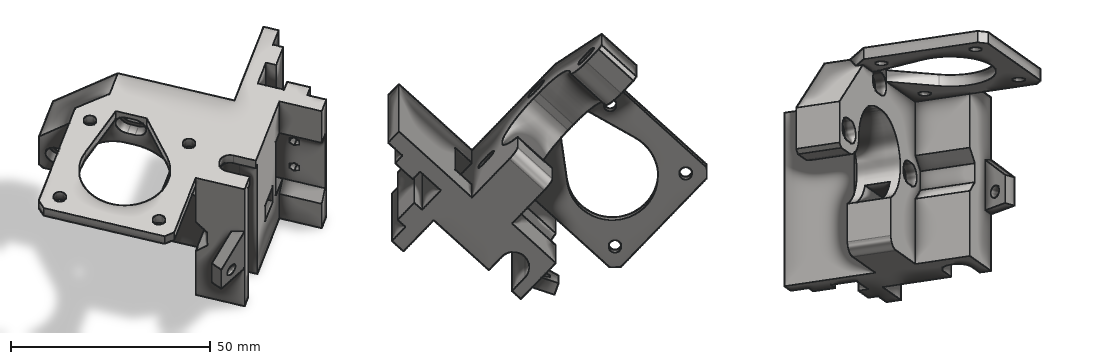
import cadquery as cq
import math

height = 46.0
plate_thickness = 3.05
plate_bottom = height - plate_thickness
plate_left = 10.1
plate_right = 45.6
plate_shoulder_y = 33.4
plate_corner_chamfer = 1.95
plate_hole_diameter = 3.2
plate_hole_spacing = 25.95
plate_hole_edge_offset = 4.7

window_center = (27.85, 17.7)
window_radius = 11.45
window_edge_left = 20.15
window_edge_right = 28.2

arm_front = 35.45
arm_back = 47.4
arm_side_height = 28.9
arm_tip_radius = 6.0
arm_corner_chamfer = 1.1
foot_left = 30.8
foot_fillet = 3.05

motor_x = 24.1
motor_z = height / 2
motor_bore_radius = 11.45
screw_offset = 18.35
screw_diameter = 3.7
screw_head_diameter = 6.0
screw_head_depth = 3.0
adjustment = 2.0

column_right = 58.4
column_front = 20.45
flange_thickness = 4.0
side_flange_left = 47.55
back_flange_back = 54.4
back_flange_front = back_flange_back - flange_thickness
back_flange_right = 69.5
side_flange_back = 72.5
key_height = 2.7
key_width = 6.1
side_key_start = 61.5

groove_depth = 3.05
groove_floor_height = 5.0
groove_mouth_height = 11.45
channel_front = 38.0
channel_back = 44.9
channel_bottom = 13.1
channel_top = 19.15
tunnel_height = 21.1
tunnel_back = 53.2
notch_center_y = 27.5
notch_width = 5.45
notch_end_x = 49.7
notch_lower_width = 7.9

pilot_diameter = 3.0
pilot_spacing = 10.0
pilot_depth = 2.2

tab_angle = 24.1
tab_length = 8.9
tab_thickness = 3.2
tab_bottom = 15.0
tab_end_height = 7.5
tab_root_height = 14.4
tab_hole_diameter = 3.2
tab_hole_from_end = 3.85
tab_hole_height = 4.0


def box(x_range, y_range, z_range):
    """Axis-aligned box given by its limits along X, Y and Z."""
    size = [limits[1] - limits[0] for limits in (x_range, y_range, z_range)]
    corner = (x_range[0], y_range[0], z_range[0])
    return cq.Workplane("XY").box(*size, centered=False).translate(corner)


def facing_front(y):
    """Sketch plane seen from the front: local x is X, local y is Z, negative extrusion goes to +Y."""
    return cq.Workplane("XZ", origin=(0, y, 0))


def cross_slot(x, z, diameter, y_start, y_end):
    """Sideways-stretched round hole running along Y."""
    sketch = facing_front(y_start).center(x, z).slot2D(diameter + adjustment, diameter)
    return sketch.extrude(y_start - y_end)


def tangent_point(center, radius, point, side):
    """Touching point on a circle of the tangent from an outside point; side is +1 or -1."""
    dx = point[0] - center[0]
    dy = point[1] - center[1]
    angle = math.atan2(dy, dx) + side * math.acos(radius / math.hypot(dx, dy))
    return (center[0] + radius * math.cos(angle), center[1] + radius * math.sin(angle))


def motor_plate():
    diagonal_run = height - arm_side_height
    outline = [
        (plate_left + plate_corner_chamfer, 0),
        (plate_right - plate_corner_chamfer, 0),
        (plate_right, plate_corner_chamfer),
        (plate_right, arm_back),
        (diagonal_run, arm_back),
        (diagonal_run, plate_shoulder_y + diagonal_run - plate_left),
        (plate_left, plate_shoulder_y),
        (plate_left, plate_corner_chamfer),
    ]
    plane = cq.Workplane("XY", origin=(0, 0, plate_bottom))
    return plane.polyline(outline).close().extrude(plate_thickness)


def plate_openings():
    plane = cq.Workplane("XY", origin=(0, 0, plate_bottom))
    edge_left = (window_edge_left, arm_front)
    edge_right = (window_edge_right, arm_front)
    lowest = (window_center[0], window_center[1] - window_radius)
    window = (
        plane.moveTo(*edge_left)
        .lineTo(*tangent_point(window_center, window_radius, edge_left, 1))
        .threePointArc(lowest, tangent_point(window_center, window_radius, edge_right, -1))
        .lineTo(*edge_right)
        .close()
        .extrude(plate_thickness)
    )
    first = (plate_left + plate_hole_edge_offset, plate_hole_edge_offset)
    centers = [
        (first[0] + i * plate_hole_spacing, first[1] + j * plate_hole_spacing)
        for i in (0, 1)
        for j in (0, 1)
    ]
    holes = plane.pushPoints(centers).circle(plate_hole_diameter / 2).extrude(plate_thickness)
    return window.union(holes)


def motor_arm():
    """Hooked arm around the bore, joined to the foot on its right."""
    half_travel = adjustment / 2
    bore_left = motor_x - half_travel - motor_bore_radius
    bore_right = motor_x + half_travel + motor_bore_radius
    bore_top = motor_z + motor_bore_radius
    tip_bottom = motor_z - arm_tip_radius
    tip_center = bore_left - arm_tip_radius
    diagonal = math.sqrt(0.5)
    right_center = motor_x + half_travel
    foot_top = motor_z - math.sqrt(motor_bore_radius**2 - (foot_left - right_center) ** 2)
    return (
        facing_front(arm_front)
        .moveTo(arm_corner_chamfer, tip_bottom)
        .lineTo(tip_center, tip_bottom)
        .threePointArc(
            (tip_center + arm_tip_radius * diagonal, motor_z - arm_tip_radius * diagonal),
            (bore_left, motor_z),
        )
        .threePointArc(
            (
                motor_x - half_travel - motor_bore_radius * diagonal,
                motor_z + motor_bore_radius * diagonal,
            ),
            (motor_x - half_travel, bore_top),
        )
        .lineTo(right_center, bore_top)
        .threePointArc((bore_right, motor_z), (foot_left, foot_top))
        .lineTo(foot_left, foot_fillet)
        .radiusArc((foot_left + foot_fillet, 0), -foot_fillet)
        .lineTo(column_right, 0)
        .lineTo(column_right, height)
        .lineTo(height - arm_side_height, height)
        .lineTo(0, arm_side_height)
        .lineTo(0, tip_bottom + arm_corner_chamfer)
        .close()
        .extrude(arm_front - arm_back)
    )


def screw_slots():
    positions = [
        (motor_x - screw_offset, motor_z),
        (motor_x + screw_offset, motor_z),
        (motor_x, motor_z + screw_offset),
    ]
    slots = cq.Workplane("XY")
    for x, z in positions:
        slots = slots.union(cross_slot(x, z, screw_diameter, arm_front, arm_back))
        head_end = arm_front + screw_head_depth
        slots = slots.union(cross_slot(x, z, screw_head_diameter, arm_front, head_end))
    return slots


def column_and_flanges():
    full = (0, height)
    side_flange_right = side_flange_left + flange_thickness
    column = box((plate_right, column_right), (column_front, arm_back), full)
    corner = box((side_flange_left, column_right), (arm_back, back_flange_back), full)
    back_flange = box((column_right, back_flange_right), (back_flange_front, back_flange_back), full)
    side_flange = box((side_flange_left, side_flange_right), (arm_back, side_flange_back), full)
    back_key = box(
        (column_right, column_right + key_width),
        (back_flange_back, back_flange_back + key_height),
        full,
    )
    side_key = box(
        (side_flange_right, side_flange_right + key_height),
        (side_key_start, side_key_start + key_width),
        full,
    )
    body = column
    for piece in (corner, back_flange, side_flange, back_key, side_key):
        body = body.union(piece)
    return body


def column_groove():
    """Flared groove along Y in the left face of the column, clearing a screw head."""
    floor_x = plate_right + groove_depth
    outline = [
        (plate_right, motor_z - groove_mouth_height / 2),
        (floor_x, motor_z - groove_floor_height / 2),
        (floor_x, motor_z + groove_floor_height / 2),
        (plate_right, motor_z + groove_mouth_height / 2),
    ]
    return facing_front(column_front).polyline(outline).close().extrude(column_front - arm_front)


def pulley_channel():
    """Channel from the motor bore out through the right face of the column."""
    return box((motor_x, column_right), (channel_front, channel_back), (channel_bottom, channel_top))


def flange_tunnel():
    """Opening through the corner block, continued as a recess with a sloped sill in the flange."""
    low = motor_z - tunnel_height / 2
    high = motor_z + tunnel_height / 2
    tunnel = box((side_flange_left, back_flange_right), (arm_back, tunnel_back), (low, high))
    sill_drop = tunnel_back - back_flange_front
    sill = (
        cq.Workplane("YZ", origin=(column_right, 0, 0))
        .polyline([(back_flange_front, low), (tunnel_back, low), (back_flange_front, low - sill_drop)])
        .close()
        .extrude(back_flange_right - column_right)
    )
    return tunnel.union(sill)


def edge_notch(width, z_start, z_end):
    """Round-ended notch, open at the right face of the column."""
    radius = width / 2
    center_x = notch_end_x + radius
    low = notch_center_y - radius
    high = notch_center_y + radius
    return (
        cq.Workplane("XY", origin=(0, 0, z_start))
        .moveTo(column_right, low)
        .lineTo(center_x, low)
        .threePointArc((notch_end_x, notch_center_y), (center_x, high))
        .lineTo(column_right, high)
        .close()
        .extrude(z_end - z_start)
    )


def pilot_holes():
    centers = [(column_right + key_width / 2, motor_z + s * pilot_spacing / 2) for s in (-1, 1)]
    holes = cq.Workplane("XY")
    for x, z in centers:
        hexagon = facing_front(tunnel_back).polygon(6, pilot_diameter).extrude(-pilot_depth)
        hexagon = hexagon.rotate((0, 0, 0), (0, 1, 0), 90)
        holes = holes.union(hexagon.translate((x, 0, z)))
    return holes


def slanted_tab():
    """Tab with a sloped top, built along -Y and swung about the column's front right edge."""
    root = tab_thickness * math.tan(math.radians(tab_angle))
    slope = (tab_root_height - tab_end_height) / tab_length
    outline = [
        (-tab_length, 0),
        (root, 0),
        (root, tab_root_height + slope * root),
        (0, tab_root_height),
        (-tab_length, tab_end_height),
    ]
    plane = cq.Workplane("YZ")
    tab = plane.polyline(outline).close().extrude(-tab_thickness)
    hole_center = (tab_hole_from_end - tab_length, tab_hole_height)
    hole = plane.center(*hole_center).circle(tab_hole_diameter / 2).extrude(-tab_thickness)
    tab = tab.cut(hole).rotate((0, 0, 0), (0, 0, 1), -tab_angle)
    tab = tab.translate((column_right, column_front, tab_bottom))

    reach = tab_length + tab_thickness
    keep = box(
        (column_right - reach, column_right + reach),
        (column_front - reach, column_front),
        (0, height),
    )
    return tab.intersect(keep)


result = motor_plate().union(motor_arm()).union(column_and_flanges()).union(slanted_tab())
for opening in (
    plate_openings(),
    screw_slots(),
    column_groove(),
    pulley_channel(),
    flange_tunnel(),
    edge_notch(notch_width, plate_bottom, height),
    edge_notch(notch_lower_width, 0, plate_bottom),
    pilot_holes(),
):
    result = result.cut(opening)